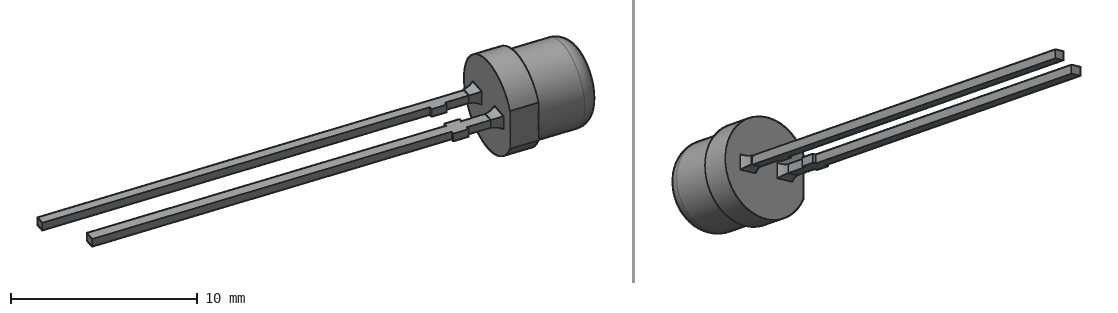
import cadquery as cq

TOTAL_LENGTH = 31.85
HOUSING_LENGTH = 5.48
FLANGE_THICKNESS = 1.72
FLANGE_DIAMETER = 5.7
LENS_DIAMETER = 5.13
LENS_EDGE_RADIUS = 1.0

LEAD_PITCH = 2.55
LEAD_WIDTH = 0.65
LEAD_HEIGHT = 0.5
LEAD_LENGTH_DIFFERENCE = 1.7
LONG_LEAD_INSET = 0.05
COLLAR_WIDTH = 1.05
COLLAR_HEIGHT = 0.85
COLLAR_LENGTH = 0.67
COLLAR_HOLLOW = 0.03

LUG_PROJECTION = 0.207
LUG_LENGTH = 0.92
LUG_DISTANCE = 2.1

LEAD_ROOT_Y = -COLLAR_LENGTH
LONG_TIP_Y = HOUSING_LENGTH - TOTAL_LENGTH
SHORT_TIP_Y = LONG_TIP_Y + LEAD_LENGTH_DIFFERENCE
LUG_CENTER_Y = -LUG_DISTANCE - LUG_LENGTH / 2
LONG_COLLAR_X = -LEAD_PITCH / 2
LONG_LEAD_WIDTH = LEAD_WIDTH - LONG_LEAD_INSET
LONG_LEAD_X = LONG_COLLAR_X + LONG_LEAD_INSET / 2
SHORT_LEAD_X = LEAD_PITCH / 2

SIDE_PLANE = cq.Plane(origin=(0, 0, 0), xDir=(0, 0, 1), normal=(-1, 0, 0))


def make_housing():
    """Round lens with a rounded end, on a flange with one flat level with the lens side."""
    flat_x = LENS_DIAMETER / 2
    flange_radius = FLANGE_DIAMETER / 2
    flange = cq.Workplane("XZ").circle(flange_radius).extrude(-FLANGE_THICKNESS)
    flat_keep = cq.Workplane("XY").box(
        flange_radius + flat_x, FLANGE_THICKNESS, FLANGE_DIAMETER, centered=(False, False, True)
    ).translate((-flange_radius, 0, 0))
    lens = (
        cq.Workplane("XZ", origin=(0, FLANGE_THICKNESS, 0))
        .circle(LENS_DIAMETER / 2)
        .extrude(FLANGE_THICKNESS - HOUSING_LENGTH)
        .faces(">Y")
        .edges()
        .fillet(LENS_EDGE_RADIUS)
    )
    return flange.intersect(flat_keep).union(lens)


def make_flare(plane, root_width, lead_width, depth):
    """Slab whose concave sides start at the lead root and widen toward the flange face."""
    half_root = root_width / 2
    half_lead = lead_width / 2
    return (
        cq.Workplane(plane)
        .moveTo(-half_lead, LEAD_ROOT_Y)
        .lineTo(half_lead, LEAD_ROOT_Y)
        .sagittaArc((half_root, 0), COLLAR_HOLLOW)
        .lineTo(-half_root, 0)
        .sagittaArc((-half_lead, LEAD_ROOT_Y), COLLAR_HOLLOW)
        .close()
        .extrude(depth / 2, both=True)
    )


def make_collar(center_x):
    """Rectangular collar that flares on all four sides from the lead section to the flange face."""
    flare_in_x = make_flare("XY", COLLAR_WIDTH, LEAD_WIDTH, COLLAR_HEIGHT)
    flare_in_z = make_flare(SIDE_PLANE, COLLAR_HEIGHT, LEAD_HEIGHT, COLLAR_WIDTH)
    return flare_in_x.intersect(flare_in_z).translate((center_x, 0, 0))


def make_lead(center_x, width, tip_y, lug_sides):
    """Straight lead with a stand-off lug on each listed side (-1 for -X, +1 for +X)."""
    length = LEAD_ROOT_Y - tip_y
    lead = cq.Workplane("XY").box(width, length, LEAD_HEIGHT)
    lead = lead.translate((center_x, tip_y + length / 2, 0))
    for side in lug_sides:
        lug = cq.Workplane("XY").box(LUG_PROJECTION, LUG_LENGTH, LEAD_HEIGHT)
        lug_x = center_x + side * (width + LUG_PROJECTION) / 2
        lead = lead.union(lug.translate((lug_x, LUG_CENTER_Y, 0)))
    return lead


housing = make_housing()
collars = [make_collar(center_x) for center_x in (LONG_COLLAR_X, SHORT_LEAD_X)]
long_lead = make_lead(LONG_LEAD_X, LONG_LEAD_WIDTH, LONG_TIP_Y, [1])
short_lead = make_lead(SHORT_LEAD_X, LEAD_WIDTH, SHORT_TIP_Y, [-1, 1])

result = cq.Compound.makeCompound(
    [housing.val(), *[collar.val() for collar in collars], long_lead.val(), short_lead.val()]
)